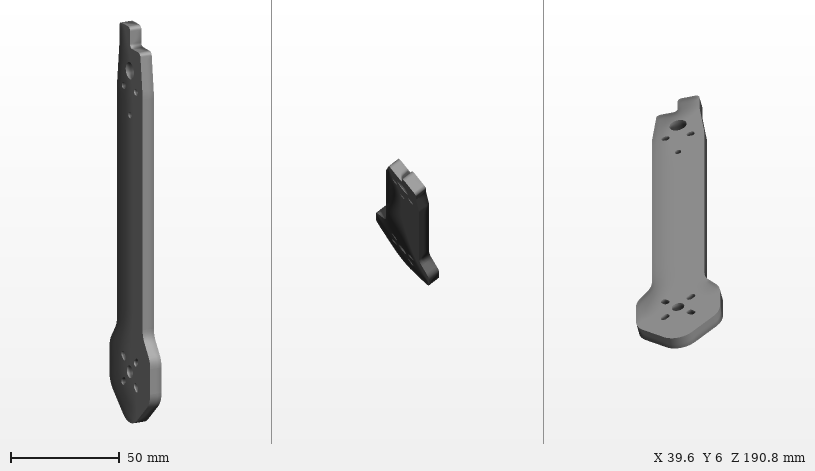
import cadquery as cq
import math

length = 190.8
thickness = 6.0

head_half_width = 19.8
head_corner_z = 10.0
neck_z = 20.2
tip_z = -28.0
head_radius = 10.0
motor_hole_diameter = 6.0
motor_slot_offset = 6.1
motor_slot_length = 4.5
motor_slot_angle = 45
slot_width = 3.0

arm_half_width = 12.4
end_half_width = 10.1
taper_depth = 29.8
taper_radius = 30.5
notch_depth = 10.0
notch_x = 0.2
end_radius = 2.0
big_hole_diameter = 8.0
big_hole_depth = 21.0
side_slot_depth = 29.8
side_slot_x = 6.0
side_slot_length = 3.8
small_hole_diameter = 3.0
small_hole_depth = 42.4

tip_slope = (-head_corner_z - tip_z) / head_half_width
tip_rounding_lift = head_radius * (math.hypot(1, tip_slope) - 1)
top_z = tip_z + tip_rounding_lift + length
notch_z = top_z - notch_depth
taper_z = top_z - taper_depth


def plate():
    """Extrude the sharp outline and round its corners."""
    left_side = [
        (-end_half_width, top_z),
        (-end_half_width, notch_z),
        (-arm_half_width, taper_z),
        (-arm_half_width, neck_z),
        (-head_half_width, head_corner_z),
        (-head_half_width, -head_corner_z),
    ]
    right_side = [(-x, z) for x, z in reversed(left_side[1:])]
    notch = [(notch_x, notch_z), (notch_x, top_z)]
    outline = left_side + [(0, tip_z)] + right_side + notch
    body = cq.Workplane("XZ").polyline(outline).close().extrude(thickness / 2, both=True)

    end_corners = [left_side[0], right_side[-1]] + notch
    head_corners = left_side[3:] + [(0, tip_z)] + right_side[:3]
    taper_corners = [left_side[2], right_side[3]]
    body = round_corners(body, head_corners, head_radius)
    body = round_corners(body, taper_corners, taper_radius)
    return round_corners(body, end_corners, end_radius)


def round_corners(body, corners, radius):
    """Fillet the edges along Y that pass through the given (x, z) corners."""
    edges = cq.Workplane()
    for x, z in corners:
        edges = edges.add(body.edges("|Y").edges(cq.selectors.NearestToPointSelector((x, 0, z))))
    return body.newObject(edges.vals()).fillet(radius)


def through_hole(x, z, diameter):
    return cq.Workplane("XZ").center(x, z).circle(diameter / 2).extrude(thickness, both=True)


def through_slot(x, z, slot_length, angle=0):
    return (
        cq.Workplane("XZ")
        .center(x, z)
        .slot2D(slot_length, slot_width, angle)
        .extrude(thickness, both=True)
    )


result = plate()
result = result.cut(through_hole(0, 0, motor_hole_diameter))
result = result.cut(through_hole(0, top_z - big_hole_depth, big_hole_diameter))
result = result.cut(through_hole(0, top_z - small_hole_depth, small_hole_diameter))

for side in (-1, 1):
    result = result.cut(through_slot(side * side_slot_x, top_z - side_slot_depth, side_slot_length))
    for level in (-1, 1):
        x = side * motor_slot_offset
        z = level * motor_slot_offset
        result = result.cut(through_slot(x, z, motor_slot_length, side * level * motor_slot_angle))